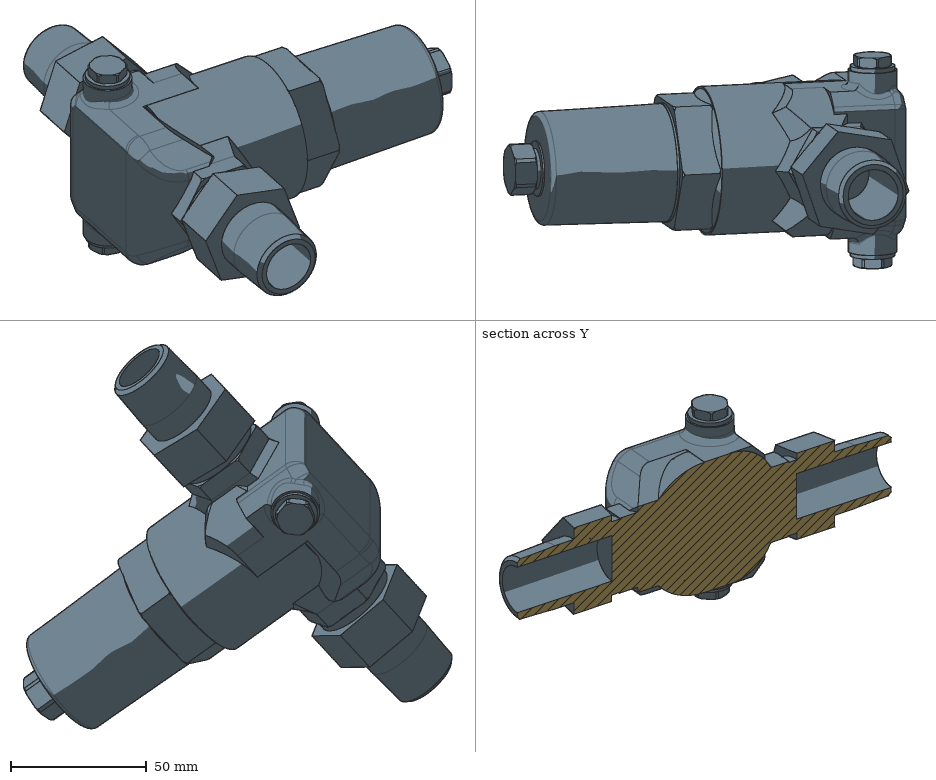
import cadquery as cq
import math


barrel_dia = 55.0
barrel_bottom = -10.0
barrel_top = 42.7
lock_nut_corners = 53.5
lock_nut_top = 57.5
shoulder_cone_dia = 53.5
shoulder_cone_top_dia = 46.0
shoulder_cone_height = 1.7
lock_nut_bevel = 0.8
collar_dia = 44.2
cap_bottom = 58.3
cap_bottom_dia = 43.7
cap_top_dia = 42.0
cap_top = 105.8
cap_rounding = 1.7
screw_washer_dia = 20.5
screw_washer_top = 106.5
screw_neck_dia = 15.0
screw_head_bottom = 108.2
screw_head_top = 116.6
screw_head_flats = 17.1
screw_head_dia = 19.0
screw_head_bevel = 0.5

body_half_height = 27.5
body_bottom = -28.5
body_rounding = 5.4
body_left = 27.2
body_left_top = 0.0
body_corner = 5.5
inlet_left = 31.8
inlet_shoulder = 12.3
inlet_top = 22.2
inlet_bottom = -5.0
inlet_side_bottom = 0.0
inlet_side_top = 3.4
inlet_arc_middle = (-26.9, 14.5)
inlet_arc_end = -16.8
inlet_edge_radius = 20.2
outlet_shoulder = -11.6
outlet_top = 1.7
outlet_side_top = -3.4
outlet_top_end = 28.5
outlet_flat_end = 15.6
outlet_corner_radius = 16.8
outlet_right = outlet_flat_end + outlet_corner_radius
outlet_side_height = 15.5
outlet_edge_radius = 9.2
shoulder_angle = 39.0
shoulder_slope = math.tan(math.radians(shoulder_angle))

pipe_end = 84.0
thread_start = 67.2
thread_end_dia = 25.5
pipe_dia = 26.9
pipe_bevel = 1.3
bore_dia = 19.0
nut_outer = 58.6
nut_inner = 41.5
nut_corners = 41.3
nut_turn = 11.0
joint_dia = 31.0
port_outer = 38.0
port_corners = 36.6
port_bevel = 0.7
flare_outer = 30.7
flare_inner = 20.8
flare_half_height = 18.0
flare_flat_half_width = 12.3
flare_upper_corner = 30.9
flare_lower_corner = 23.5

boss_x = -15.0
boss_y = -17.8
boss_dia = 18.0
boss_top = 34.1
boss_fillet = 2.5
boss_foot_reach = 11.8
boss_foot_bottom = 21.0
boss_foot_top = 29.4
plug_washer_dia = 16.5
plug_washer_top = 35.6
plug_flats = 13.0
plug_dia = 14.5
plug_top = 39.5
plug_bevel = 0.5
lower_plug_turn = 17.0


def corner_dia(flats):
    """Across-corners size of a hexagon from its across-flats size."""
    return flats / math.cos(math.pi / 6)


def spring_plane(y, turn=0):
    """Plane facing +Y on the spring axis; its local X is turned from +X."""
    return cq.Workplane(cq.Plane((0, y, 0), (1, 0, 0), (0, 1, 0)).rotated((0, 0, turn)))


def pipe_plane(x, turn=0):
    """Plane facing +X on the pipe axis; its local X is turned from +Y."""
    return cq.Workplane(cq.Plane((x, 0, 0), (0, 1, 0), (1, 0, 0)).rotated((0, 0, turn)))


def bevelled_rod(plane, diameter, length, bevel):
    """Round blank with both ends bevelled; it trims the corners of a hexagon."""
    return plane.circle(diameter / 2).extrude(length).edges().chamfer(bevel)


def make_spring_stack():
    """Barrel, lock nut, tapered cap and adjusting screw."""
    barrel = spring_plane(barrel_bottom).circle(barrel_dia / 2).extrude(barrel_top - barrel_bottom)

    shoulder_cone = (
        spring_plane(barrel_top)
        .circle(shoulder_cone_dia / 2)
        .workplane(offset=shoulder_cone_height)
        .circle(shoulder_cone_top_dia / 2)
        .loft()
    )
    nut_height = lock_nut_top - barrel_top
    lock_nut = spring_plane(barrel_top).polygon(6, lock_nut_corners).extrude(nut_height)
    lock_nut = lock_nut.intersect(
        bevelled_rod(spring_plane(barrel_top), lock_nut_corners, nut_height, lock_nut_bevel)
    )
    collar = spring_plane(lock_nut_top).circle(collar_dia / 2).extrude(cap_bottom - lock_nut_top)

    cap = (
        spring_plane(cap_bottom)
        .circle(cap_bottom_dia / 2)
        .workplane(offset=cap_top - cap_bottom)
        .circle(cap_top_dia / 2)
        .loft()
        .faces(">Y")
        .edges()
        .fillet(cap_rounding)
    )

    washer = spring_plane(cap_top).circle(screw_washer_dia / 2).extrude(screw_washer_top - cap_top)
    neck = spring_plane(cap_top).circle(screw_neck_dia / 2).extrude(screw_head_bottom - cap_top)
    head_height = screw_head_top - screw_head_bottom
    head = spring_plane(screw_head_bottom, 90).polygon(6, corner_dia(screw_head_flats)).extrude(head_height)
    head = head.intersect(
        bevelled_rod(spring_plane(screw_head_bottom), screw_head_dia, head_height, screw_head_bevel)
    )

    stack = barrel
    for piece in (shoulder_cone, lock_nut, collar, cap, washer, neck, head):
        stack = stack.union(piece)
    return stack


def limit_by_shoulder(solid, shoulder, top):
    """Trim a bulge to the body height with faces sloping down from the shoulder to the top."""
    slope_end = body_half_height - (top - shoulder) * shoulder_slope
    side = (
        cq.Workplane("YZ")
        .moveTo(body_bottom, -body_half_height)
        .lineTo(shoulder, -body_half_height)
        .lineTo(top, -slope_end)
        .lineTo(top, slope_end)
        .lineTo(shoulder, body_half_height)
        .lineTo(body_bottom, body_half_height)
        .close()
        .extrude(2 * outlet_right, both=True)
    )
    return solid.intersect(side)


def left_half_block(left, bottom, top):
    """Plain block on the -X side, as tall as the body, between two places along Y."""
    size = (left, top - bottom, 2 * body_half_height)
    return cq.Workplane("XY").box(*size).translate((-left / 2, (bottom + top) / 2, 0))


def make_inlet_bulge():
    """Shoulder on the inlet side, rising above the pipe axis."""
    bulge = left_half_block(inlet_left, inlet_bottom, inlet_top)
    bulge = bulge.edges("<X and |Y").fillet(inlet_edge_radius)
    plan = (
        cq.Workplane("XY")
        .moveTo(0, inlet_bottom)
        .lineTo(-body_left, inlet_bottom)
        .lineTo(-inlet_left, inlet_side_bottom)
        .lineTo(-inlet_left, inlet_side_top)
        .threePointArc(inlet_arc_middle, (inlet_arc_end, inlet_top))
        .lineTo(0, inlet_top)
        .close()
        .extrude(body_half_height, both=True)
    )
    return limit_by_shoulder(bulge.intersect(plan), inlet_shoulder, inlet_top)


def make_outlet_lobe():
    """Lobe on the outlet side with rounded edges toward the pipe."""
    corner_start = outlet_right - (body_half_height - outlet_side_height)
    front = (
        cq.Workplane("XZ")
        .moveTo(0, -body_half_height)
        .lineTo(corner_start, -body_half_height)
        .lineTo(outlet_right, -outlet_side_height)
        .lineTo(outlet_right, outlet_side_height)
        .lineTo(corner_start, body_half_height)
        .lineTo(0, body_half_height)
        .close()
        .extrude(-body_bottom, both=True)
    )
    front = front.faces(">Z or <Z").edges(">X").fillet(outlet_edge_radius)
    plan = (
        cq.Workplane("XY")
        .moveTo(0, body_bottom)
        .lineTo(outlet_flat_end, body_bottom)
        .radiusArc((outlet_right, body_bottom + outlet_corner_radius), -outlet_corner_radius)
        .lineTo(outlet_right, outlet_side_top)
        .lineTo(outlet_top_end, outlet_top)
        .lineTo(0, outlet_top)
        .close()
        .extrude(body_half_height, both=True)
    )
    return limit_by_shoulder(front.intersect(plan), outlet_shoulder, outlet_top)


def port_plane(z):
    """Plane facing +Z on the axis of the test ports."""
    return cq.Workplane("XY", origin=(boss_x, boss_y, z))


def boss_foot_edges(side):
    """Selector for the edges around the foot of a boss; side is +1 above and -1 below."""
    low_corner = (boss_x - boss_foot_reach, boss_y - boss_foot_reach, side * boss_foot_bottom)
    high_corner = (boss_x + boss_foot_reach, boss_y + boss_foot_reach, side * boss_foot_top)
    return cq.selectors.BoxSelector(low_corner, high_corner)


def make_body():
    """Inlet half, outlet lobe, port bosses with filleted feet, and inlet shoulder."""
    left = left_half_block(body_left, body_bottom, body_left_top).edges("<X and |Y").chamfer(body_corner)
    body = left.union(make_outlet_lobe())
    body = body.faces("<Y").edges("not(>X)").fillet(body_rounding)
    for side in (1, -1):
        body = body.union(port_plane(0).circle(boss_dia / 2).extrude(side * boss_top))
    body = body.edges(boss_foot_edges(1) + boss_foot_edges(-1)).fillet(boss_fillet)
    return body.union(make_inlet_bulge())


def make_connection(turn):
    """Port hexagon, union nut and threaded tail on the +X side; turn sets the nut's corners."""
    flare = (
        pipe_plane(flare_inner)
        .polyline([
            (flare_upper_corner, 0),
            (flare_flat_half_width, flare_half_height),
            (-flare_flat_half_width, flare_half_height),
            (-flare_lower_corner, 0),
            (-flare_flat_half_width, -flare_half_height),
            (flare_flat_half_width, -flare_half_height),
        ])
        .close()
        .workplane(offset=flare_outer - flare_inner)
        .polygon(6, port_corners)
        .loft(ruled=True)
    )

    port = pipe_plane(0).polygon(6, port_corners).extrude(port_outer)
    port = port.intersect(
        pipe_plane(0).circle(port_corners / 2).extrude(port_outer).faces(">X").chamfer(port_bevel)
    )
    joint = pipe_plane(0).circle(joint_dia / 2).extrude(nut_outer)
    nut = pipe_plane(nut_inner, turn).polygon(6, nut_corners).extrude(nut_outer - nut_inner)
    pipe = pipe_plane(nut_inner).circle(pipe_dia / 2).extrude(thread_start - nut_inner)
    thread = (
        pipe_plane(thread_start)
        .circle(pipe_dia / 2)
        .workplane(offset=pipe_end - thread_start)
        .circle(thread_end_dia / 2)
        .loft()
        .faces(">X")
        .chamfer(pipe_bevel)
    )
    bore = pipe_plane(nut_inner).circle(bore_dia / 2).extrude(pipe_end - nut_inner)
    return flare.union(port).union(joint).union(nut).union(pipe).union(thread).cut(bore)


def make_plug(plug_turn):
    """Washer and hexagon plug on the upper boss, the hexagon turned by plug_turn."""
    washer = port_plane(boss_top).circle(plug_washer_dia / 2).extrude(plug_washer_top - boss_top)
    plug_height = plug_top - plug_washer_top
    plug = (
        port_plane(plug_washer_top)
        .transformed(rotate=(0, 0, plug_turn))
        .polygon(6, corner_dia(plug_flats))
        .extrude(plug_height)
    )
    plug = plug.intersect(
        bevelled_rod(port_plane(plug_washer_top), plug_dia, plug_height, plug_bevel)
    )
    return washer.union(plug)


left_connection = make_connection(nut_turn).mirror("YZ")
right_connection = make_connection(-nut_turn)
upper_plug = make_plug(0)
lower_plug = make_plug(lower_plug_turn).mirror("XY")

result = make_spring_stack().union(make_body())
for part in (left_connection, right_connection, upper_plug, lower_plug):
    result = result.union(part)